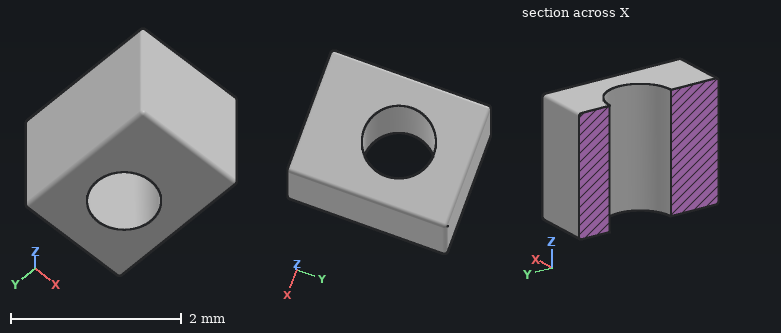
import cadquery as cq

width = 1.56
length = 2.0
height = 1.6
edge_radius = 0.05

hole_diameter = 0.868
hole_offset_y = 0.12

block = cq.Workplane("XY").box(width, length, height).edges().fillet(edge_radius)

result = (
    block.faces(">Z")
    .workplane(origin=(0, 0, 0))
    .center(0, hole_offset_y)
    .hole(hole_diameter)
)